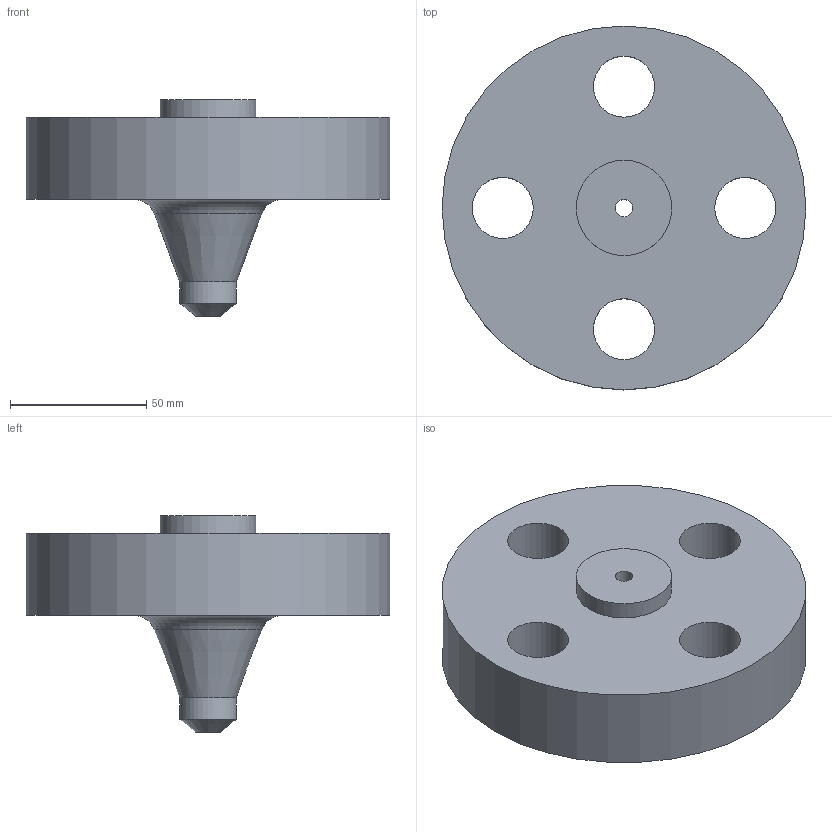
import cadquery as cq
import math

flange_diameter = 133.35
flange_thickness = 30.2
raised_face_diameter = 34.93
raised_face_height = 6.35
overall_height = 79.38

bolt_hole_count = 4
bolt_hole_diameter = 22.35
bolt_circle_diameter = 88.9
bore_diameter = 6.35

hub_diameter = 43.2
pipe_diameter = 20.8
pipe_length = 7.8
bevel_height = 4.8
tip_diameter = 8.9
hub_fillet_radius = 8.0

raised_face_z = flange_thickness + raised_face_height
tip_z = raised_face_z - overall_height
bevel_top_z = tip_z + bevel_height
cone_bottom_z = bevel_top_z + pipe_length


def hub_fillet_points():
    """Start, middle and end of the arc joining the disc underside to the cone."""
    hub_radius = hub_diameter / 2
    pipe_radius = pipe_diameter / 2
    cone_angle = math.atan2(hub_radius - pipe_radius, -cone_bottom_z)
    tangent_length = hub_fillet_radius * math.tan((math.pi / 2 - cone_angle) / 2)
    center_r = hub_radius + tangent_length
    center_z = -hub_fillet_radius
    points = []
    for angle in (math.pi / 2, (3 * math.pi / 2 - cone_angle) / 2, math.pi - cone_angle):
        r = center_r + hub_fillet_radius * math.cos(angle)
        z = center_z + hub_fillet_radius * math.sin(angle)
        points.append((r, z))
    return points


def make_body():
    """Revolve the half section of the solid flange about the Z axis."""
    fillet_start, fillet_middle, fillet_end = hub_fillet_points()
    return (
        cq.Workplane("XZ")
        .moveTo(0, raised_face_z)
        .lineTo(raised_face_diameter / 2, raised_face_z)
        .lineTo(raised_face_diameter / 2, flange_thickness)
        .lineTo(flange_diameter / 2, flange_thickness)
        .lineTo(flange_diameter / 2, 0)
        .lineTo(*fillet_start)
        .threePointArc(fillet_middle, fillet_end)
        .lineTo(pipe_diameter / 2, cone_bottom_z)
        .lineTo(pipe_diameter / 2, bevel_top_z)
        .lineTo(tip_diameter / 2, tip_z)
        .lineTo(0, tip_z)
        .close()
        .revolve(360, (0, 0, 0), (0, 1, 0))
    )


def make_bolt_holes():
    """Through holes on the bolt circle, starting on the X axis."""
    return (
        cq.Workplane("XY")
        .polarArray(bolt_circle_diameter / 2, 0, 360, bolt_hole_count)
        .circle(bolt_hole_diameter / 2)
        .extrude(flange_thickness)
    )


def make_bore():
    """Central bore through the full height."""
    return (
        cq.Workplane("XY", origin=(0, 0, tip_z))
        .circle(bore_diameter / 2)
        .extrude(overall_height)
    )


result = make_body().cut(make_bolt_holes()).cut(make_bore())